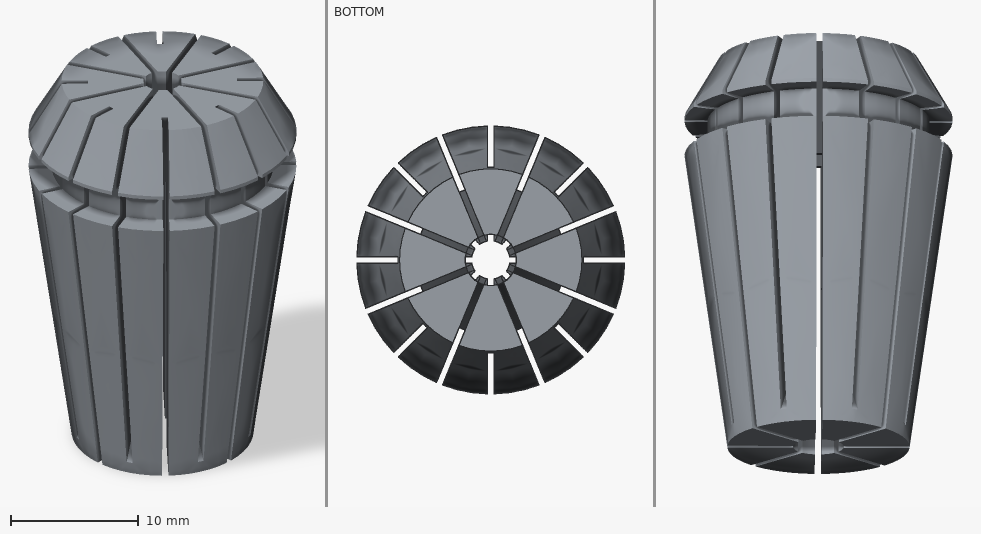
import math

import cadquery as cq

LENGTH = 31.5
MAX_RADIUS = 10.5

NOSE_HALF_ANGLE = 30.0
NOSE_HEIGHT = 4.5
RIM_HEIGHT = 0.3
NOSE_TOP_RADIUS = MAX_RADIUS - NOSE_HEIGHT * math.tan(math.radians(NOSE_HALF_ANGLE))
RIM_TOP_Z = LENGTH - NOSE_HEIGHT
RIM_BOTTOM_Z = RIM_TOP_Z - RIM_HEIGHT

GROOVE_HEIGHT = 2.8
GROOVE_RADIUS = 8.7
GROOVE_BOTTOM_Z = RIM_BOTTOM_Z - GROOVE_HEIGHT

BODY_HALF_ANGLE = 8.0
BODY_BOTTOM_RADIUS = MAX_RADIUS - GROOVE_BOTTOM_Z * math.tan(math.radians(BODY_HALF_ANGLE))

CLAMP_RADIUS = 1.5
CLAMP_LENGTH = 18.0
RELIEF_RADIUS = 2.0
RELIEF_DEPTH = LENGTH - CLAMP_LENGTH

SLOTS_PER_SET = 8
SLOT_PITCH = 360.0 / SLOTS_PER_SET
SLOT_WIDTH = 0.5
SAW_RADIUS = 35.0
OVERRUN = 1.0

TOP_SLOT_INNER_Z = 11.15
TOP_SLOT_END_Z = 1.0
TOP_SLOT_END_RADIUS = BODY_BOTTOM_RADIUS + TOP_SLOT_END_Z * math.tan(math.radians(BODY_HALF_ANGLE))

BOTTOM_SLOT_END_RADIUS = 5.85
BOTTOM_SLOT_INNER_Z = 23.5


def make_body():
    """Solid of revolution with nose cone, rim, groove and body taper."""
    outline = [
        (0, 0),
        (BODY_BOTTOM_RADIUS, 0),
        (MAX_RADIUS, GROOVE_BOTTOM_Z),
        (GROOVE_RADIUS, GROOVE_BOTTOM_Z),
        (GROOVE_RADIUS, RIM_BOTTOM_Z),
        (MAX_RADIUS, RIM_BOTTOM_Z),
        (MAX_RADIUS, RIM_TOP_Z),
        (NOSE_TOP_RADIUS, LENGTH),
        (0, LENGTH),
    ]
    return cq.Workplane("XZ").polyline(outline).close().revolve(360, (0, 0, 0), (0, 1, 0))


def make_bore():
    """Stepped bore along the axis."""
    clamp = cq.Workplane("XY").circle(CLAMP_RADIUS).extrude(LENGTH)
    relief = cq.Workplane("XY").circle(RELIEF_RADIUS).extrude(RELIEF_DEPTH)
    return clamp.union(relief)


def arc_middle(start, end):
    """Middle point of a saw arc that bows to the left of the line from start to end."""
    run = end[0] - start[0]
    rise = end[1] - start[1]
    chord = math.hypot(run, rise)
    bow = SAW_RADIUS - math.sqrt(SAW_RADIUS**2 - (chord / 2) ** 2)
    middle_r = (start[0] + end[0]) / 2 - bow * rise / chord
    middle_z = (start[1] + end[1]) / 2 + bow * run / chord
    return (middle_r, middle_z)


def make_top_slot():
    """Radial cutter along +X, open at the top, with an arc floor near the bottom."""
    outer_r = MAX_RADIUS + OVERRUN
    high_z = LENGTH + OVERRUN
    inner = (RELIEF_RADIUS, TOP_SLOT_INNER_Z)
    end = (TOP_SLOT_END_RADIUS, TOP_SLOT_END_Z)
    return (
        cq.Workplane("XZ")
        .moveTo(0, high_z)
        .lineTo(0, TOP_SLOT_INNER_Z)
        .lineTo(*inner)
        .threePointArc(arc_middle(end, inner), end)
        .lineTo(outer_r, TOP_SLOT_END_Z)
        .lineTo(outer_r, high_z)
        .close()
        .extrude(SLOT_WIDTH / 2, both=True)
    )


def make_bottom_slot():
    """Radial cutter along +X, open at the bottom, with an arc ceiling below the top face."""
    outer_r = MAX_RADIUS + OVERRUN
    inner = (RELIEF_RADIUS, BOTTOM_SLOT_INNER_Z)
    end = (BOTTOM_SLOT_END_RADIUS, LENGTH)
    return (
        cq.Workplane("XZ")
        .moveTo(0, -OVERRUN)
        .lineTo(0, BOTTOM_SLOT_INNER_Z)
        .lineTo(*inner)
        .threePointArc(arc_middle(inner, end), end)
        .lineTo(outer_r, LENGTH)
        .lineTo(outer_r, -OVERRUN)
        .close()
        .extrude(SLOT_WIDTH / 2, both=True)
    )


def cut_slot_set(body, cutter, first_angle):
    """Cut one set of evenly spaced slots around the axis."""
    for index in range(SLOTS_PER_SET):
        angle = first_angle + index * SLOT_PITCH
        body = body.cut(cutter.rotate((0, 0, 0), (0, 0, 1), angle))
    return body


result = make_body().cut(make_bore())
result = cut_slot_set(result, make_top_slot(), 0)
result = cut_slot_set(result, make_bottom_slot(), SLOT_PITCH / 2)